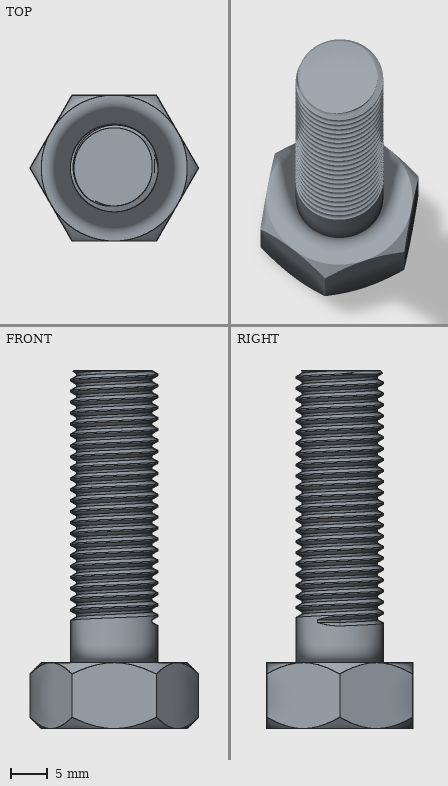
import cadquery as cq
import math

TOTAL_LENGTH = 49.0
HEAD_HEIGHT = 9.0
ACROSS_FLATS = 20.0
SHANK_DIAMETER = 12.0
TIP_CHAMFER = 0.5

THREAD_START = 14.7
LAST_GROOVE = 47.7
FULL_TURNS = 22
RUNOUT_TURNS = 1.5
FLANK_ANGLE = 30.0
CUTTER_OVERLAP = 0.05
TIP_CLEARANCE = 1.0

flat_radius = ACROSS_FLATS / 2
corner_radius = flat_radius / math.cos(math.pi / 6)
shank_radius = SHANK_DIAMETER / 2
pitch = (LAST_GROOVE - THREAD_START) / FULL_TURNS
crest_width = pitch / 8
root_width = pitch / 4
flank_slope = math.tan(math.radians(FLANK_ANGLE))
groove_depth = (pitch - crest_width - root_width) / 2 / flank_slope


def make_head():
    """Hexagonal head with corners on X and 45 degree conical chamfers at both ends."""
    hexagon = cq.Workplane("XY").polygon(6, 2 * corner_radius).extrude(HEAD_HEIGHT)
    chamfer = corner_radius - flat_radius
    chamfered_disc = (
        cq.Workplane("XY").circle(corner_radius).extrude(HEAD_HEIGHT)
        .faces("<Z or >Z").chamfer(chamfer)
    )
    return hexagon.intersect(chamfered_disc)


def make_shank():
    """Cylinder from the top of the head to the tip.

    Its seam faces -X, clear of the groove's first point, so that the groove cuts reliably.
    """
    return (
        cq.Workplane("XY").workplane(offset=HEAD_HEIGHT)
        .circle(shank_radius).extrude(TOTAL_LENGTH - HEAD_HEIGHT)
        .rotate((0, 0, 0), (0, 0, 1), 180)
    )


def groove_section():
    """Flat-bottomed V outline at the first point of the groove, on the +X side."""
    root_radius = shank_radius - groove_depth
    mouth_radius = shank_radius + CUTTER_OVERLAP
    half_root = root_width / 2
    half_mouth = half_root + (mouth_radius - root_radius) * flank_slope
    return (
        cq.Workplane("XZ")
        .polyline([
            (root_radius, -half_root),
            (mouth_radius, -half_mouth),
            (mouth_radius, half_mouth),
            (root_radius, half_root),
        ])
        .close()
    )


def make_helical_groove():
    """Right-handed cutter that climbs from the first point past the tip."""
    helix_height = pitch * (FULL_TURNS + RUNOUT_TURNS)
    helix = cq.Wire.makeHelix(pitch, helix_height, shank_radius)
    groove = groove_section().sweep(cq.Workplane(obj=helix), isFrenet=True)
    return groove.translate((0, 0, THREAD_START))


def make_groove_entry():
    """Straight cutter from the -Y side up to the first point of the groove."""
    return groove_section().extrude(shank_radius).translate((0, 0, THREAD_START))


def make_tip_envelope():
    """Wide cylinder whose 45 degree cone leaves TIP_CHAMFER on the shank.

    Intersecting it with the grooved shank chamfers the tip across the running-out thread.
    """
    return (
        cq.Workplane("XY").circle(shank_radius + TIP_CLEARANCE).extrude(TOTAL_LENGTH)
        .faces(">Z").chamfer(TIP_CHAMFER + TIP_CLEARANCE)
    )


grooved_shank = make_shank().cut(make_helical_groove()).cut(make_groove_entry())
threaded_shank = grooved_shank.intersect(make_tip_envelope())
result = make_head().union(threaded_shank)